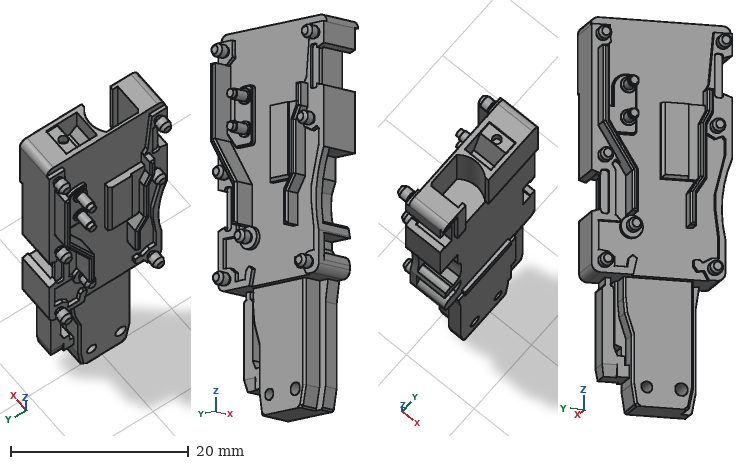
import cadquery as cq
import math


HEIGHT = 44.65
WIDTH = 16.5
HALF_WIDTH = WIDTH / 2
BORDER_DEPTH = 0.5
BODY_BACK = 5.1
BACK_FACE = 5.6
BODY_BOTTOM = 14.9
CORNER_RADIUS = 1.0
CORNER_STEP_Z = HEIGHT - 0.95
EMBED = 0.22

FRONT_EDGE_Y = -7.45
GRIP_TOP_Z = 29.2
GRIP_BOTTOM_Z = 19.75
GRIP_DEEPEST = (-7.05, 23.9)
NOTCH_DEPTH = 1.05
NOTCH_FLANK = 0.35
FRONT_NOTCH_Z = (36.3, 41.15)
REAR_NOTCH_Z = (21.92, 26.75)

SLOT_WIDTH = 1.0
SLOT_FLOOR_X = 0.35
SLOT_WEB_BACK_X = 0.85
SLOT_OVERLAP = 0.25
SLOT_OVERRUN = 0.15

PIN_CENTRES = [(7.1, 42.5), (-7.0, 42.5), (-6.3, 32.7), (6.88, 28.4),
               (6.88, 16.15), (-6.05, 16.15), (3.53, 20.5)]
PIN_DIAMETER = 1.5
PIN_NECK_DIAMETER = 1.15
PIN_NECK_LENGTH = 0.35
PIN_LENGTH = 1.8
PIN_CHAMFER_LENGTH = 0.45
PIN_CHAMFER_INSET = 0.25
LOWER_BOSS_CENTRE = PIN_CENTRES[-1]
LOWER_BOSS_DIAMETER = 2.6

CONTACT_PIN_Y = 3.97
CONTACT_PIN_Z = (33.1, 36.9)
CONTACT_PIN_LENGTH = 2.5
CONTACT_PIN_DIAMETER = 1.25
CONTACT_TIP_DIAMETER = 1.0
CONTACT_TIP_LENGTH = 0.55
CONTACT_COLLAR_DIAMETER = 1.8
CONTACT_COLLAR_LENGTH = 0.22
PAD_EDGE_Y = 2.95
PAD_TOP_Z = 38.15
PAD_BOTTOM_Z = 31.2
PAD_CORNER = 0.45
PAD_CHAMFER = 0.15

WALL_THICKNESS = 0.7
WALL_CHAMFER = 0.22
REAR_WALL_HEIGHT = 2.2
FRONT_WALL_HEIGHT = 1.3
REAR_WALL_PATH = [(7.15, 40.9), (7.15, 32.05), (3.75, 26.55), (3.75, 21.85)]
FRONT_WALL_PATH = [(-5.35, 36.9), (-5.35, 34.25), (-4.55, 32.75), (-4.55, 26.5), (-3.35, 24.7), (-3.35, 20.9)]

BLOCK_Y = (-3.05, 0.1)
BLOCK_Z = (26.35, 35.1)
BLOCK_HEIGHT = 0.4
BLOCK_CHAMFER = 0.35
BLOCK_STEP_HEIGHT = 0.2

FLANGE_THICKNESS = 0.95
HOLLOW_WALL_Y = -4.65
UPPER_RIB_Z = (19.5, 21.05)
UPPER_RIB_RADIUS = 1.0
LOWER_RIB_TOP_Z = 17.5
LOWER_RIB_RADIUS = 1.1

COVER_BOTTOM_Z = 36.8
COVER_FRONT_Y = -5.8
CHANNEL_X = (0.9, BODY_BACK)
CHANNEL_Y = (-5.1, 0.4)
BACK_OPENING_FRONT_Y = -4.38
CHANNEL_ARCH = 0.8
CHANNEL_CORNER = 0.45
CHANNEL_FLOOR_CHAMFER = 0.35
CHANNEL_FLOOR_Z = 36.6
CHAMBER_X = (1.15, 5.0)
CHAMBER_Y = (0.7, 5.0)
CHAMBER_FLOOR_Z = 41.1
LEDGE_Z = 44.35
LEDGE_Y = 3.4
LEDGE_HOLE_Y = 4.0
LEDGE_HOLE_DIAMETER = 1.1
LEDGE_HOLE_DEPTH = 1.35
RAMP_RUN = 1.0
LEDGE_SLOPE_RUN = 1.1

STEM_FRONT_X = 1.2
STEM_SPLIT_X = 3.6
STEM_BACK_X = 5.45
STEM_TOP_Z = BODY_BOTTOM + EMBED
STEM_CHAMFER = 0.25
STEM_TIP_CHAMFER = 0.22
TAPER_START_Z = 2.6
STEM_HOLES = [(1.45, 1.3), (-2.65, 1.47)]
STEM_HOLE_Z = 2.28
TAB_TOP_Z = 16.0
TAB_Y = (-4.45, 3.55)

LEVER_X = (2.25, 4.9)
LEVER_Y = (5.0, 6.4)
LEVER_TOP_Z = 14.05
LEVER_BOTTOM_Z = 3.5
LEVER_TOP_CHAMFER = 0.3
LEVER_FOOT_Z = 4.9
LEVER_FOOT_END_Y = 6.1
LEVER_FOOT_SLOPE = 0.35
LEVER_FOOT_INNER_Y = 4.6
LEVER_NECK_WIDTH = 0.63


def side_plane(x):
    """Sketch plane whose local axes are Y and Z, extruding towards +X."""
    return cq.Workplane(cq.Plane(origin=(x, 0, 0), xDir=(0, 1, 0), normal=(1, 0, 0)))


def slab(points, x_start, x_end):
    """Closed Y-Z polygon between two X positions."""
    return side_plane(x_start).polyline(points).close().extrude(x_end - x_start)


def block(x_range, y_range, z_range):
    """Rectangular block between pairs of limits."""
    size = [limits[1] - limits[0] for limits in (x_range, y_range, z_range)]
    corner = (x_range[0], y_range[0], z_range[0])
    return cq.Workplane("XY").box(*size, centered=False).translate(corner)


def disc(centre, diameter, x_start, x_end):
    """Cylinder along X."""
    return side_plane(x_start).center(*centre).circle(diameter / 2).extrude(x_end - x_start)


def housing(x_start, x_end):
    """Housing outline with side notches and a curved finger grip."""
    front_notch_y = -HALF_WIDTH + NOTCH_DEPTH
    rear_notch_y = HALF_WIDTH - NOTCH_DEPTH
    outline = (
        side_plane(x_start)
        .moveTo(HALF_WIDTH, HEIGHT)
        .lineTo(-HALF_WIDTH, HEIGHT)
        .lineTo(-HALF_WIDTH, FRONT_NOTCH_Z[1])
        .lineTo(front_notch_y, FRONT_NOTCH_Z[1] - NOTCH_FLANK)
        .lineTo(front_notch_y, FRONT_NOTCH_Z[0] + NOTCH_FLANK)
        .lineTo(-HALF_WIDTH, FRONT_NOTCH_Z[0])
        .lineTo(-HALF_WIDTH, GRIP_TOP_Z)
        .threePointArc(GRIP_DEEPEST, (FRONT_EDGE_Y, GRIP_BOTTOM_Z))
        .lineTo(FRONT_EDGE_Y, BODY_BOTTOM)
        .lineTo(HALF_WIDTH, BODY_BOTTOM)
        .lineTo(HALF_WIDTH, REAR_NOTCH_Z[0])
        .lineTo(rear_notch_y, REAR_NOTCH_Z[0] + NOTCH_FLANK)
        .lineTo(rear_notch_y, REAR_NOTCH_Z[1] - NOTCH_FLANK)
        .lineTo(HALF_WIDTH, REAR_NOTCH_Z[1])
        .close()
    )
    solid = outline.extrude(x_end - x_start)
    corners = solid.edges("|X").edges(">Z or <Z")
    return corners.fillet(CORNER_RADIUS)


def main_face_recess():
    """Sunken main face, open at the top and at the bottom between the pins."""
    rear_side = [
        (6.07, HEIGHT), (6.07, 42.65), (6.0, 41.75), (6.9, 41.0),
        (6.9, 32.05), (4.05, 27.25), (5.45, 28.15),
        (5.85, 27.55), (5.45, 26.92), (5.45, 21.75), (4.75, 21.0), (7.45, 21.0), (7.45, 17.55),
        (6.35, 17.4), (5.6, 16.8), (5.6, 15.75), (4.05, 15.75), (3.9, 16.8),
        (3.45, 17.2), (2.95, 16.85), (3.4, BODY_BOTTOM),
    ]
    front_side = [
        (-5.55, BODY_BOTTOM), (-4.95, 15.95), (-4.2, 15.85), (-3.75, 16.45), (-3.75, 17.1),
        (-4.4, 17.2), (-4.78, 16.9), (-5.8, 17.45), (-6.7, 17.5), (-6.7, 20.05),
        (-6.3, 23.17), (-6.3, 25.0), (-7.45, 29.55), (-7.45, 31.4), (-7.15, 31.75),
        (-6.3, 31.4), (-5.2, 31.95), (-4.95, 33.25), (-5.7, 34.25), (-5.7, 36.6),
        (-5.1, 36.9), (-5.55, 37.65), (-5.95, 41.85), (-6.1, CORNER_STEP_Z), (-6.1, HEIGHT),
    ]
    return slab(rear_side + front_side, 0, BORDER_DEPTH)


def contact_pad():
    """Pad level with the border that carries the two contact pins, chamfered around its edge."""
    outline = (
        side_plane(0)
        .moveTo(7.05, 34.43)
        .lineTo(5.75, 34.43)
        .lineTo(5.75, 36.45)
        .threePointArc((5.35, 37.6), (4.25, PAD_TOP_Z))
        .lineTo(PAD_EDGE_Y + PAD_CORNER, PAD_TOP_Z)
        .radiusArc((PAD_EDGE_Y, PAD_TOP_Z - PAD_CORNER), -PAD_CORNER)
        .lineTo(PAD_EDGE_Y, PAD_BOTTOM_Z + PAD_CORNER)
        .radiusArc((PAD_EDGE_Y + PAD_CORNER, PAD_BOTTOM_Z), -PAD_CORNER)
        .lineTo(5.55, PAD_BOTTOM_Z)
        .lineTo(7.05, 33.15)
        .close()
    )
    return outline.extrude(BORDER_DEPTH + EMBED).faces("<X").chamfer(PAD_CHAMFER)


def border():
    """Raised border with its square corner steps, contact pad and pin boss."""
    corner_steps = block((0, BORDER_DEPTH), (-HALF_WIDTH, HALF_WIDTH), (CORNER_STEP_Z, HEIGHT))
    raised = housing(0, BORDER_DEPTH + EMBED).cut(corner_steps).cut(main_face_recess())
    boss = disc(LOWER_BOSS_CENTRE, LOWER_BOSS_DIAMETER, 0, BORDER_DEPTH + EMBED)
    return raised.union(contact_pad()).union(boss)


def notch_slot(notch_z, outer_y, direction):
    """Shallow pocket along the bottom of a side notch, with the body hollowed behind its floor."""
    notch_y = outer_y + direction * NOTCH_DEPTH
    inner_y = notch_y + direction * SLOT_WIDTH
    hollow_y = notch_y - direction * SLOT_OVERLAP
    z_range = (notch_z[0] - SLOT_OVERRUN, notch_z[1] + SLOT_OVERRUN)
    pocket = block((0, SLOT_FLOOR_X), sorted((notch_y, inner_y)), z_range)
    pocket = pocket.edges("|X").fillet(SLOT_WIDTH / 3)
    hollow = block((SLOT_WEB_BACK_X, BODY_BACK), sorted((hollow_y, inner_y)), z_range)
    return pocket.union(hollow)


def pin(centre):
    """Locating pin with a short neck and a chamfered tip."""
    neck = disc(centre, PIN_NECK_DIAMETER, -PIN_NECK_LENGTH, BORDER_DEPTH + EMBED)
    head = disc(centre, PIN_DIAMETER, -PIN_LENGTH, -PIN_NECK_LENGTH)
    head = head.faces("<X").chamfer(PIN_CHAMFER_LENGTH, PIN_CHAMFER_INSET)
    return neck.union(head)


def contact_pin(z):
    """Stepped pin standing on a low collar."""
    centre = (CONTACT_PIN_Y, z)
    collar = disc(centre, CONTACT_COLLAR_DIAMETER, -CONTACT_COLLAR_LENGTH, EMBED)
    shank = disc(centre, CONTACT_PIN_DIAMETER, CONTACT_TIP_LENGTH - CONTACT_PIN_LENGTH, EMBED)
    tip = disc(centre, CONTACT_TIP_DIAMETER, -CONTACT_PIN_LENGTH, EMBED)
    return collar.union(shank).union(tip)


def zigzag_wall(path, height):
    """Wall of even thickness along a centre line, chamfered along its free edge."""
    sides = ([], [])
    last = len(path) - 1
    for i, (y, z) in enumerate(path):
        before = path[max(i - 1, 0)]
        here = path[i]
        after = path[min(i + 1, last)]
        angle_in = math.atan2(here[1] - before[1], here[0] - before[0]) if i > 0 else None
        angle_out = math.atan2(after[1] - here[1], after[0] - here[0]) if i < last else angle_in
        angle_in = angle_out if angle_in is None else angle_in
        normal = (angle_in + angle_out + math.pi) / 2
        offset = WALL_THICKNESS / 2 / math.cos((angle_out - angle_in) / 2)
        for side, sign in zip(sides, (1, -1)):
            side.append((y + sign * offset * math.cos(normal), z + sign * offset * math.sin(normal)))
    wall = slab(sides[0] + sides[1][::-1], -height, BORDER_DEPTH + EMBED)
    return wall.faces("<X").chamfer(WALL_CHAMFER)


def raised_block():
    """Low block on the main face, chamfered on its +Y side and bottom."""
    solid = block((-BLOCK_HEIGHT, BORDER_DEPTH + EMBED), BLOCK_Y, BLOCK_Z)
    return solid.faces("<X").edges(">Y or <Z").chamfer(BLOCK_CHAMFER)


def block_step():
    """Lower step between the raised block and the front wall, ending under the wall."""
    y_block = BLOCK_Y[0]
    z_bottom, z_top = BLOCK_Z
    wall_side = [(FRONT_WALL_PATH[0][0], z_top)] + FRONT_WALL_PATH[1:4]
    outline = [(y_block, z_bottom), (y_block, z_top)] + wall_side + [(FRONT_WALL_PATH[3][0], z_bottom)]
    return slab(outline, -BLOCK_STEP_HEIGHT, BORDER_DEPTH + EMBED)


def grip_undercut():
    """Material removed behind the flange, leaving two ribs with rounded outer corners."""
    thickness = BODY_BACK - FLANGE_THICKNESS
    rib_bottom, rib_top = UPPER_RIB_Z
    above_upper_rib = (
        side_plane(FLANGE_THICKNESS)
        .moveTo(-HALF_WIDTH, GRIP_TOP_Z)
        .lineTo(-5.22, GRIP_TOP_Z)
        .lineTo(-5.22, 26.45)
        .lineTo(HOLLOW_WALL_Y, 25.0)
        .threePointArc((-4.55, 23.0), (-4.85, 21.15))
        .lineTo(-5.95, 20.65)
        .lineTo(-6.35, rib_top)
        .lineTo(FRONT_EDGE_Y + UPPER_RIB_RADIUS, rib_top)
        .radiusArc((FRONT_EDGE_Y, rib_top - UPPER_RIB_RADIUS), -UPPER_RIB_RADIUS)
        .lineTo(-HALF_WIDTH, rib_top - UPPER_RIB_RADIUS)
        .close()
        .extrude(thickness)
    )
    between_ribs = (
        side_plane(FLANGE_THICKNESS)
        .moveTo(-HALF_WIDTH, rib_bottom)
        .lineTo(HOLLOW_WALL_Y, rib_bottom)
        .lineTo(HOLLOW_WALL_Y, 18.55)
        .lineTo(-5.45, LOWER_RIB_TOP_Z)
        .lineTo(FRONT_EDGE_Y + LOWER_RIB_RADIUS, LOWER_RIB_TOP_Z)
        .radiusArc((FRONT_EDGE_Y, LOWER_RIB_TOP_Z - LOWER_RIB_RADIUS), -LOWER_RIB_RADIUS)
        .lineTo(-HALF_WIDTH, LOWER_RIB_TOP_Z - LOWER_RIB_RADIUS)
        .close()
        .extrude(thickness)
    )
    return above_upper_rib.union(between_ribs)


def back_cover():
    """Raised cover on the upper back of the body."""
    solid = block((BODY_BACK - EMBED, BACK_FACE), (-HALF_WIDTH, HALF_WIDTH), (COVER_BOTTOM_Z, HEIGHT))
    solid = solid.edges("|X and >Z").fillet(CORNER_RADIUS)
    x_range = (BODY_BACK - EMBED, BACK_FACE)
    lower_corner = block(x_range, (-HALF_WIDTH, COVER_FRONT_Y), (COVER_BOTTOM_Z, CORNER_STEP_Z))
    return solid.cut(lower_corner)


def channel():
    """Arched channel sunk from the top and open at the back."""
    y_min, y_max = CHANNEL_Y
    x_min, x_max = CHANNEL_X
    x_mid = (x_min + x_max) / 2
    shoulder_y = y_max - CHANNEL_ARCH
    arched = (
        cq.Workplane("XY").workplane(offset=CHANNEL_FLOOR_Z)
        .moveTo(x_min, shoulder_y)
        .threePointArc((x_mid, y_max), (x_max, shoulder_y))
        .lineTo(x_max, y_min)
        .lineTo(x_min, y_min)
        .close()
        .extrude(HEIGHT - CHANNEL_FLOOR_Z)
        .faces("<Z").edges("|X").chamfer(CHANNEL_FLOOR_CHAMFER)
        .edges("|Z and <X and <Y").fillet(CHANNEL_CORNER)
    )
    back_opening = block((x_max, BACK_FACE), (BACK_OPENING_FRONT_Y, shoulder_y), (CHANNEL_FLOOR_Z, HEIGHT))
    return arched.union(back_opening)


def chamber():
    """Stepped chamber in the top with a ledge, a hole in the ledge and a ramp opposite it."""
    y_min, y_max = CHAMBER_Y
    profile = [
        (y_min, HEIGHT), (y_min, CHAMBER_FLOOR_Z + RAMP_RUN), (y_min + RAMP_RUN, CHAMBER_FLOOR_Z),
        (LEDGE_Y - LEDGE_SLOPE_RUN, CHAMBER_FLOOR_Z), (LEDGE_Y, LEDGE_Z), (y_max, LEDGE_Z), (y_max, HEIGHT),
    ]
    opening = slab(profile, *CHAMBER_X)
    hole_x = sum(CHAMBER_X) / 2
    hole = (cq.Workplane("XY").workplane(offset=LEDGE_Z - LEDGE_HOLE_DEPTH)
            .center(hole_x, LEDGE_HOLE_Y).circle(LEDGE_HOLE_DIAMETER / 2).extrude(LEDGE_HOLE_DEPTH))
    return opening.union(hole)


def stem():
    """Two-layer tapered stem with its cross holes and the tab at its root."""
    front_outline = [
        (4.15, STEM_TOP_Z), (4.15, 12.5), (3.97, 10.75), (3.15, 8.25), (3.15, TAPER_START_Z), (2.75, 0),
        (-3.55, 0), (-4.1, TAPER_START_Z), (-4.1, STEM_TOP_Z),
    ]
    back_outline = [
        (4.5, STEM_TOP_Z), (4.5, 7.6), (3.7, 7.3), (3.7, LEVER_BOTTOM_Z), (3.15, LEVER_BOTTOM_Z),
        (3.15, TAPER_START_Z), (2.75, 0), (-4.55, 0),
        (-5.05, TAPER_START_Z), (-5.05, 12.35), (-5.45, BODY_BOTTOM), (-5.45, STEM_TOP_Z),
    ]
    front_layer = slab(front_outline, STEM_FRONT_X, STEM_SPLIT_X)
    front_layer = front_layer.edges("|X").edges("<Z").chamfer(STEM_TIP_CHAMFER)
    front_layer = front_layer.faces("<X").edges("not <Z").chamfer(STEM_CHAMFER)
    back_layer = slab(back_outline, STEM_SPLIT_X, STEM_BACK_X)
    back_layer = back_layer.edges("|X").edges("<Z").chamfer(STEM_TIP_CHAMFER)
    tab = block((BODY_BACK - EMBED, BACK_FACE), TAB_Y, (BODY_BOTTOM, TAB_TOP_Z))
    solid = front_layer.union(back_layer).union(tab)
    for y, diameter in STEM_HOLES:
        solid = solid.cut(disc((y, STEM_HOLE_Z), diameter, STEM_FRONT_X, STEM_BACK_X))
    return solid


def lever():
    """Slim lever joined to the body by a neck and to the stem by its foot."""
    y_in, y_out = LEVER_Y
    outline = [
        (y_out - LEVER_TOP_CHAMFER, LEVER_TOP_Z), (y_out, LEVER_TOP_Z - LEVER_TOP_CHAMFER),
        (y_out, LEVER_FOOT_Z), (LEVER_FOOT_END_Y, LEVER_BOTTOM_Z), (3.13, LEVER_BOTTOM_Z),
        (3.13, LEVER_FOOT_Z), (3.7, LEVER_FOOT_Z), (3.7, 5.95), (4.55, 5.95), (y_in, 6.9),
        (y_in, LEVER_TOP_Z - LEVER_TOP_CHAMFER), (y_in + LEVER_TOP_CHAMFER, LEVER_TOP_Z),
    ]
    arm = slab(outline, *LEVER_X)
    x_front = LEVER_X[0]
    foot_slope = (
        cq.Workplane("XZ").workplane(offset=-y_out)
        .polyline([(x_front, LEVER_FOOT_Z), (x_front + LEVER_FOOT_SLOPE, LEVER_BOTTOM_Z),
                   (x_front, LEVER_BOTTOM_Z)])
        .close().extrude(y_out - LEVER_FOOT_INNER_Y)
    )
    neck_y = (y_in + y_out) / 2
    neck_range = (neck_y - LEVER_NECK_WIDTH / 2, neck_y + LEVER_NECK_WIDTH / 2)
    neck = block(LEVER_X, neck_range, (LEVER_TOP_Z - EMBED, STEM_TOP_Z))
    return arm.cut(foot_slope).union(neck)


result = housing(BORDER_DEPTH, BODY_BACK).union(back_cover()).union(border())
result = result.cut(grip_undercut()).cut(channel()).cut(chamber())
result = result.cut(notch_slot(FRONT_NOTCH_Z, -HALF_WIDTH, 1))
result = result.cut(notch_slot(REAR_NOTCH_Z, HALF_WIDTH, -1))

result = result.union(raised_block()).union(block_step())
result = result.union(zigzag_wall(REAR_WALL_PATH, REAR_WALL_HEIGHT))
result = result.union(zigzag_wall(FRONT_WALL_PATH, FRONT_WALL_HEIGHT))
for pin_centre in PIN_CENTRES:
    result = result.union(pin(pin_centre))
for contact_z in CONTACT_PIN_Z:
    result = result.union(contact_pin(contact_z))

result = result.union(lever()).union(stem())